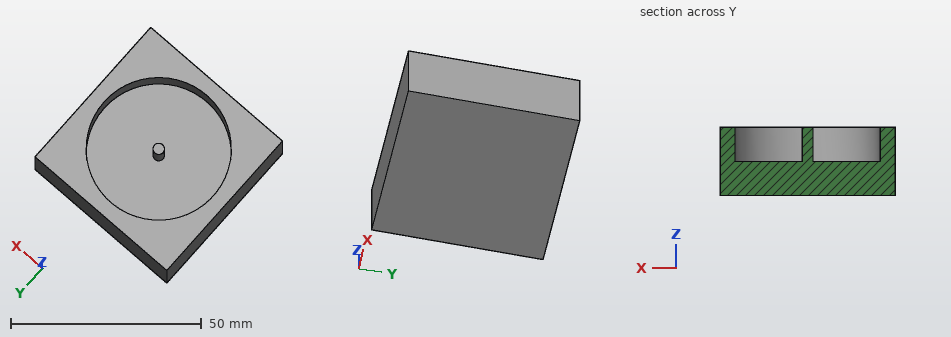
import cadquery as cq

side = 46.0
height = 18.0
pocket_diameter = 38.1
pocket_depth = 9.0
pin_diameter = 3.0

block = cq.Workplane("XY").box(side, side, height, centered=(True, True, False))

pocket = (
    cq.Workplane("XY", origin=(0, 0, height - pocket_depth))
    .circle(pocket_diameter / 2)
    .circle(pin_diameter / 2)
    .extrude(pocket_depth)
)

result = block.cut(pocket)